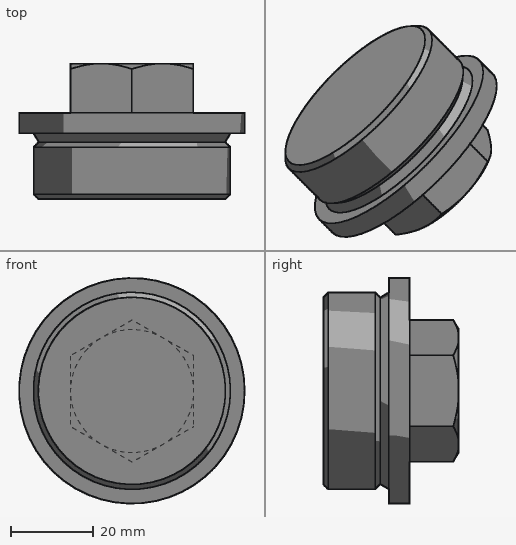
import cadquery as cq
import math

total_length = 33.0
flange_diameter = 55.0
flange_thickness = 5.0
body_diameter = 48.0
end_chamfer = 1.2
groove_depth = 1.25
groove_flange_side = 2.15
groove_body_side = 1.2
head_height = 12.0
head_across_flats = 30.0
head_chamfer_angle = 30.0

flange_radius = flange_diameter / 2
body_radius = body_diameter / 2
groove_radius = body_radius - groove_depth
flange_back = total_length - head_height
flange_front = flange_back - flange_thickness
groove_bottom = flange_front - groove_flange_side
groove_start = groove_bottom - groove_body_side


def revolve_about_y(profile):
    """Revolve (radius, y) points around the Y axis."""
    return cq.Workplane("XY").polyline(profile).close().revolve(360, (0, 0, 0), (0, 1, 0))


def make_body():
    """Chamfered cylinder, V groove and flange in one revolved profile."""
    return revolve_about_y([
        (0, 0),
        (body_radius - end_chamfer, 0),
        (body_radius, end_chamfer),
        (body_radius, groove_start),
        (groove_radius, groove_bottom),
        (body_radius, flange_front),
        (flange_radius, flange_front),
        (flange_radius, flange_back),
        (0, flange_back),
    ])


def make_head():
    """Hexagon with corners on the Z axis, its outer corners trimmed by a cone."""
    flat_radius = head_across_flats / 2
    corner_radius = flat_radius / math.cos(math.radians(30))
    corners = []
    for index in range(6):
        angle = math.radians(60 * index + 90)
        corners.append((corner_radius * math.cos(angle), corner_radius * math.sin(angle)))
    hexagon = (
        cq.Workplane("XZ", origin=(0, flange_back, 0))
        .polyline(corners)
        .close()
        .extrude(-head_height)
    )

    cone_drop = (flange_radius - flat_radius) * math.tan(math.radians(head_chamfer_angle))
    envelope = revolve_about_y([
        (0, 0),
        (flange_radius, 0),
        (flange_radius, total_length - cone_drop),
        (flat_radius, total_length),
        (0, total_length),
    ])
    return hexagon.intersect(envelope)


result = make_body().union(make_head())